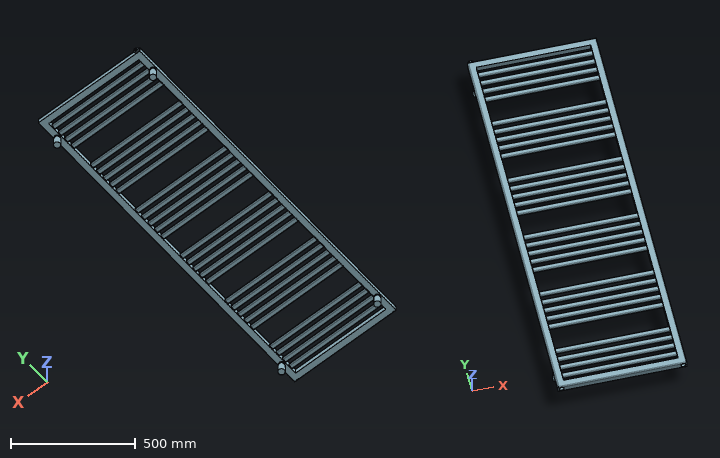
import cadquery as cq

overall_length = 1613.0
frame_width = 530.0
overall_height = 90.0

vent_length = 11.0
frame_length = overall_length - vent_length
opening_width = 471.0
rail_size = (frame_width - opening_width) / 2
outer_edge_radius = 4.0
opening_length = frame_length - 2 * rail_size
rail_offset = (frame_width - rail_size) / 2

bar_width = 23.0
bar_height = 13.7
bar_edge_radius = 4.0
bar_drop = 8.0
bar_span = 1480.0
slot_count = 38
slot_pitch = bar_span / (slot_count - 1)
first_empty_slot = 4
slots_per_cycle = 7
empty_slots = 2

foot_spacing = 1402.0
foot_diameter = rail_size
neck_diameter = 21.0
neck_height = 10.0
shoulder_chamfer = 3.0
foot_height = overall_height - rail_size - neck_height

port_diameter = 20.0
port_depth = 15.0

vent_diameter = 23.0
vent_chamfer = 4.0


def make_rails():
    """Rectangular ring of rails with rounded outer top edges."""
    block = cq.Workplane("XY").rect(frame_width, frame_length).extrude(-rail_size)
    block = block.faces(">Z").edges().fillet(outer_edge_radius)
    opening = cq.Workplane("XY").rect(opening_width, opening_length).extrude(-rail_size)
    return block.cut(opening)


def make_bar(y):
    """Cross bar with rounded long edges, spanning the opening at position y."""
    bar = cq.Workplane("XY").box(opening_width, bar_width, bar_height).edges("|X").fillet(bar_edge_radius)
    return bar.translate((0, y, -bar_drop - bar_height / 2))


def slot_is_filled(slot):
    """Two slots of every seven stay empty, which groups the bars."""
    return (slot - first_empty_slot) % slots_per_cycle >= empty_slots


def make_foot(x, y):
    """Round foot with a chamfered shoulder, hanging from a narrower neck."""
    neck = cq.Workplane("XY", origin=(x, y, -rail_size)).circle(neck_diameter / 2).extrude(-neck_height)
    body = cq.Workplane("XY", origin=(x, y, -overall_height)).circle(foot_diameter / 2).extrude(foot_height)
    return neck.union(body.faces(">Z").chamfer(shoulder_chamfer))


def make_port(x):
    """Cutter for the blind port in the -Y end of a side rail."""
    end_plane = cq.Workplane("XZ", origin=(x, -frame_length / 2, -rail_size / 2))
    return end_plane.circle(port_diameter / 2).extrude(-port_depth)


def make_radiator():
    """Rails, cross bars and feet as one solid, with the ports cut."""
    radiator = make_rails()
    for slot in range(slot_count):
        if slot_is_filled(slot):
            radiator = radiator.union(make_bar(slot * slot_pitch - bar_span / 2))
    for x in (-rail_offset, rail_offset):
        radiator = radiator.cut(make_port(x))
        for y in (-foot_spacing / 2, foot_spacing / 2):
            radiator = radiator.union(make_foot(x, y))
    return radiator


def make_vent():
    """Round plug with a chamfered outer end."""
    end_plane = cq.Workplane("XZ", origin=(-rail_offset, frame_length / 2, -rail_size / 2))
    plug = end_plane.circle(vent_diameter / 2).extrude(-vent_length)
    return plug.faces(">Y").chamfer(vent_chamfer)


radiator = make_radiator()
vent = make_vent()
result = cq.Compound.makeCompound([radiator.val(), vent.val()])